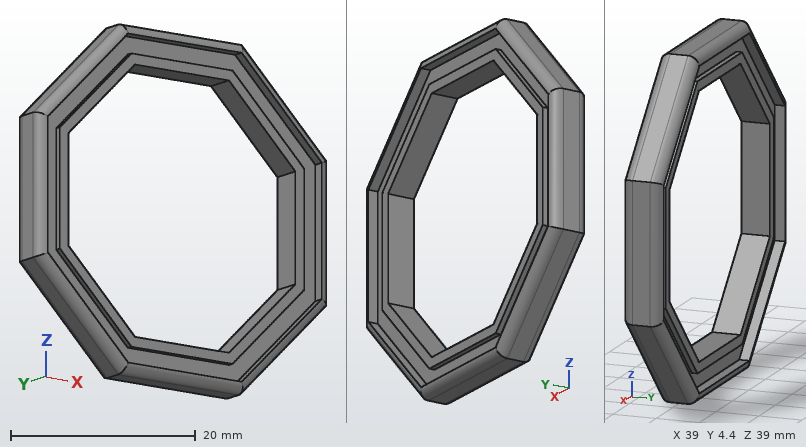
import cadquery as cq
import math

outer_width = 39.0
ring_depth = 4.4
ring_width = 4.33
edge_radius = 1.17
lip_width = 1.17
lip_setback = 0.55
floor_setback = 1.2

rim_inner_width = outer_width - 2 * edge_radius
opening_width = outer_width - 2 * ring_width
lip_outer_width = opening_width + 2 * lip_width
front_y = -ring_depth / 2


def octagon_prism(across_flats, start_y, depth):
    """Octagonal prism along +Y with flats facing X and Z."""
    sides = 8
    half_side_angle = 180 / sides
    corner_diameter = across_flats / math.cos(math.radians(half_side_angle))
    return (
        cq.Workplane("XZ", origin=(0, start_y, 0))
        .transformed(rotate=(0, 0, half_side_angle))
        .polygon(sides, corner_diameter)
        .extrude(-depth)
    )


body = octagon_prism(outer_width, front_y, ring_depth)
body = body.faces("<Y or >Y").edges().fillet(edge_radius)

front_recess = octagon_prism(rim_inner_width, front_y, floor_setback)
back_recess = front_recess.mirror("XZ")

lip = octagon_prism(lip_outer_width, front_y + lip_setback, ring_depth - 2 * lip_setback)

opening = octagon_prism(opening_width, front_y, ring_depth)

result = body.cut(front_recess).cut(back_recess).union(lip).cut(opening)